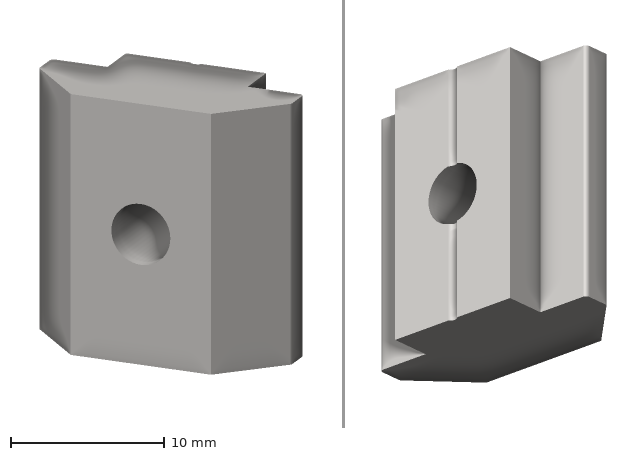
import cadquery as cq

length = 18.0
flange_width = 18.0
neck_width = 10.0
base_width = 10.0
total_depth = 9.0
neck_height = 3.0
flange_edge_height = 2.0
edge_radius = 0.3
bore_diameter = 4.2

groove_radius = 0.5
groove_depth = 0.2

base_y = -total_depth / 2
neck_y = total_depth / 2
shoulder_y = neck_y - neck_height
slope_top_y = shoulder_y - flange_edge_height


def make_body():
    """T-shaped prism with sloped lower flanks and rounded flange edges."""
    right_half = [
        (base_width / 2, base_y),
        (flange_width / 2, slope_top_y),
        (flange_width / 2, shoulder_y),
        (neck_width / 2, shoulder_y),
        (neck_width / 2, neck_y),
    ]
    left_half = [(-x, y) for x, y in reversed(right_half)]
    prism = (
        cq.Workplane("XY")
        .polyline(right_half + left_half)
        .close()
        .extrude(length / 2, both=True)
    )
    return prism.faces("<X or >X").edges("|Z").fillet(edge_radius)


def make_groove():
    """Cylinder along Z that dips into the neck face."""
    axis_y = neck_y + groove_radius - groove_depth
    return cq.Workplane("XY").center(0, axis_y).circle(groove_radius).extrude(length / 2, both=True)


def make_bore():
    """Through bore along Y at the centre of the nut."""
    return cq.Workplane("XZ").circle(bore_diameter / 2).extrude(total_depth / 2, both=True)


result = make_body().cut(make_groove()).cut(make_bore())